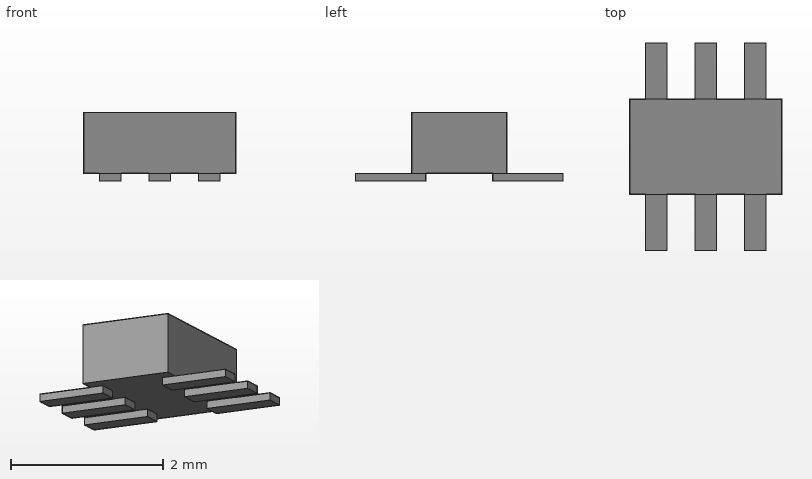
import cadquery as cq

body_length = 2.0
body_depth = 1.25
overall_height = 0.9

overall_depth = 2.73
lead_width = 0.285
lead_length = 0.928
lead_thickness = 0.1
lead_pitch = 0.65
leads_per_side = 3

body_height = overall_height - lead_thickness


def make_body():
    """Plain block resting on top of the leads."""
    return cq.Workplane("XY").workplane(offset=lead_thickness).box(
        body_length, body_depth, body_height, centered=(True, True, False)
    )


def make_lead(x, side):
    """Flat strip centred at x; side is -1 for the -Y row and +1 for the +Y row."""
    y = side * (overall_depth - lead_length) / 2
    strip = cq.Workplane("XY").box(
        lead_width, lead_length, lead_thickness, centered=(True, True, False)
    )
    return strip.translate((x, y, 0))


body = make_body()

leads = []
for side in (-1, 1):
    for index in range(leads_per_side):
        lead_x = (index - (leads_per_side - 1) / 2) * lead_pitch
        leads.append(make_lead(lead_x, side))

result = cq.Compound.makeCompound([body.val(), *[lead.val() for lead in leads]])